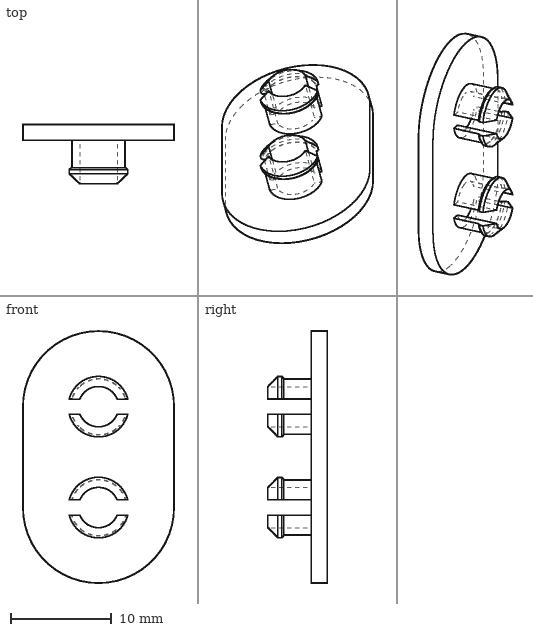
import cadquery as cq

plate_height = 25.0
plate_width = 15.0
plate_thickness = 1.6

pin_spacing = 10.0
pin_length = 4.3
bore_radius = 2.0
barrel_radius = 2.75
head_back_radius = 2.8
head_radius = 3.0
slot_height = 1.5

tip_cone_length = 1.0
head_band_length = 0.4
head_back_length = 0.2


def make_plate():
    return (
        cq.Workplane("XZ")
        .slot2D(plate_height, plate_width, 90)
        .extrude(plate_thickness)
    )


def make_pin():
    """Hollow barbed pin along -Y, split in two by a slot across its middle."""
    base_y = -plate_thickness
    tip_y = base_y - pin_length
    cone_y = tip_y + tip_cone_length
    band_y = cone_y + head_band_length
    barrel_y = band_y + head_back_length

    pin = (
        cq.Workplane("XY")
        .moveTo(bore_radius, base_y)
        .lineTo(barrel_radius, base_y)
        .lineTo(barrel_radius, barrel_y)
        .lineTo(head_back_radius, barrel_y)
        .lineTo(head_radius, band_y)
        .lineTo(head_radius, cone_y)
        .lineTo(bore_radius, tip_y)
        .close()
        .revolve(360, (0, 0, 0), (0, 1, 0))
    )
    slot = cq.Workplane("XY").box(2 * head_radius, pin_length, slot_height)
    return pin.cut(slot.translate((0, base_y - pin_length / 2, 0)))


result = make_plate()
for pin_z in (-pin_spacing / 2, pin_spacing / 2):
    result = result.union(make_pin().translate((0, 0, pin_z)))